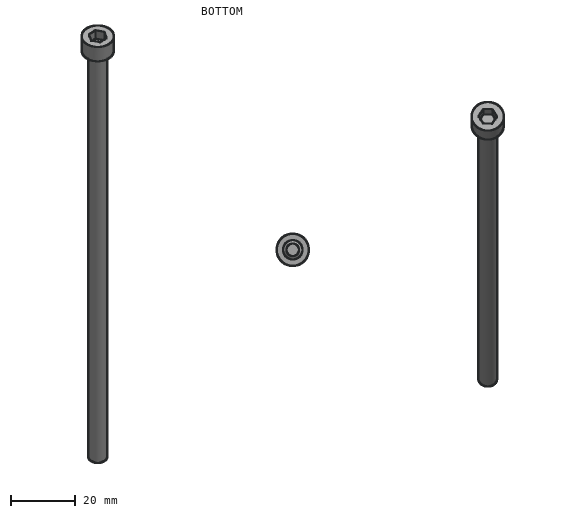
import cadquery as cq
import math

total_length = 176.0
head_diameter = 10.0
shank_diameter = 6.0
head_height = shank_diameter
shank_length = total_length - head_height
tip_chamfer = 1.0
socket_across_flats = 5.0
socket_depth = 3.5


def cylinder(diameter, bottom, height):
    return cq.Workplane("XY").workplane(offset=bottom).circle(diameter / 2).extrude(height)


socket_across_corners = socket_across_flats / math.cos(math.radians(30))
head = (
    cylinder(head_diameter, 0, head_height)
    .faces(">Z")
    .workplane()
    .polygon(6, socket_across_corners)
    .cutBlind(-socket_depth)
)

shank = (
    cylinder(shank_diameter, -shank_length, shank_length)
    .faces("<Z")
    .chamfer(tip_chamfer)
)

result = head.union(shank)